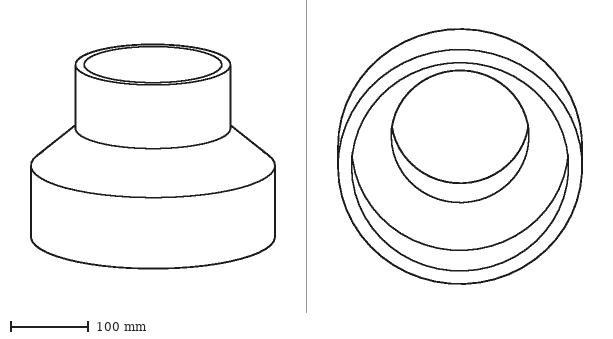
import cadquery as cq

large_diameter = 315.0
small_diameter = 200.0
large_wall = 17.5
small_wall = 11.3
large_length = 95.0
cone_length = 49.8
small_length = 85.0
small_bore_length = 90.0

large_radius = large_diameter / 2
small_radius = small_diameter / 2
large_bore_radius = large_radius - large_wall
small_bore_radius = small_radius - small_wall

cone_top = large_length + cone_length
total_height = cone_top + small_length

bore_taper_bottom = large_length
bore_taper_top = total_height - small_bore_length

wall_section = [
    (large_bore_radius, 0),
    (large_radius, 0),
    (large_radius, large_length),
    (small_radius, cone_top),
    (small_radius, total_height),
    (small_bore_radius, total_height),
    (small_bore_radius, bore_taper_top),
    (large_bore_radius, bore_taper_bottom),
]

result = cq.Workplane("XZ").polyline(wall_section).close().revolve(360, (0, 0, 0), (0, 1, 0))